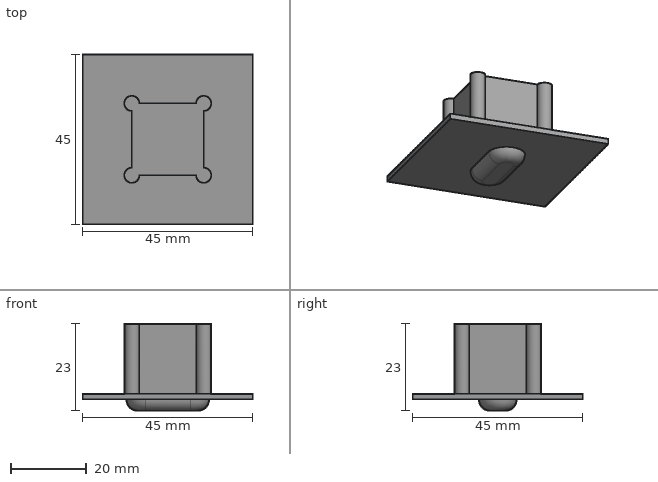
import cadquery as cq

plate_side = 45.0
plate_thickness = 1.5

block_side = 19.0
block_height = 18.5
post_diameter = 4.0

key_length = 22.0
key_width = 10.0
key_depth = 3.0
key_edge_radius = key_depth


def make_plate():
    return cq.Workplane("XY").box(plate_side, plate_side, plate_thickness, centered=(True, True, False))


def make_block():
    top_of_plate = cq.Workplane("XY").workplane(offset=plate_thickness)
    block = top_of_plate.rect(block_side, block_side).extrude(block_height)
    posts = (
        top_of_plate.rect(block_side, block_side, forConstruction=True)
        .vertices()
        .circle(post_diameter / 2)
        .extrude(block_height)
    )
    return block.union(posts)


def make_key():
    top_of_plate = cq.Workplane("XY").workplane(offset=plate_thickness)
    key = top_of_plate.slot2D(key_length, key_width).extrude(-(plate_thickness + key_depth))
    return key.faces("<Z").edges().fillet(key_edge_radius)


result = make_plate().union(make_block()).union(make_key())